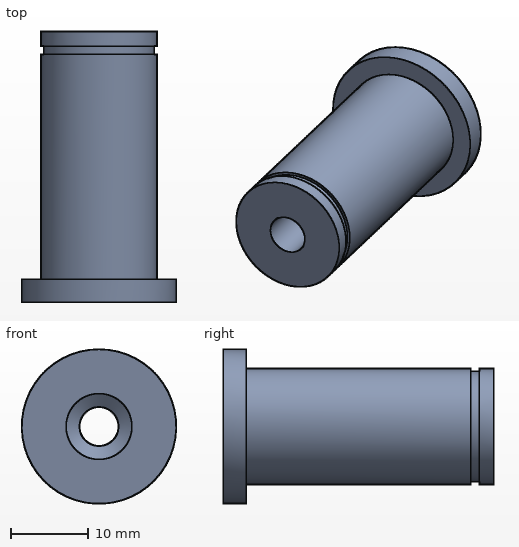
import cadquery as cq
import math

length = 35.0
flange_diameter = 20.0
flange_thickness = 3.0
body_diameter = 15.0

groove_diameter = 14.3
groove_width = 1.1
end_collar_width = 1.9

wide_bore_diameter = 8.5
narrow_bore_diameter = 5.0
wide_bore_depth = 17.5
cone_angle = 120.0

flange_face_y = -length / 2


def cylinder(diameter, start, height):
    """Cylinder on the Y axis, starting at a distance from the flange face."""
    base = cq.Vector(0, flange_face_y + start, 0)
    return cq.Workplane(cq.Solid.makeCylinder(diameter / 2, height, base, cq.Vector(0, 1, 0)))


def groove():
    start = length - end_collar_width - groove_width
    ring = cylinder(body_diameter, start, groove_width)
    return ring.cut(cylinder(groove_diameter, start, groove_width))


def stepped_bore():
    wide_radius = wide_bore_diameter / 2
    narrow_radius = narrow_bore_diameter / 2
    cone_height = (wide_radius - narrow_radius) / math.tan(math.radians(cone_angle / 2))
    cone_base = cq.Vector(0, flange_face_y + wide_bore_depth, 0)
    cone = cq.Solid.makeCone(wide_radius, narrow_radius, cone_height, cone_base, cq.Vector(0, 1, 0))
    wide_bore = cylinder(wide_bore_diameter, 0, wide_bore_depth)
    narrow_bore = cylinder(narrow_bore_diameter, 0, length)
    return wide_bore.union(cq.Workplane(cone)).union(narrow_bore)


body = cylinder(body_diameter, 0, length)
flange = cylinder(flange_diameter, 0, flange_thickness)
result = body.union(flange).cut(groove()).cut(stepped_bore())